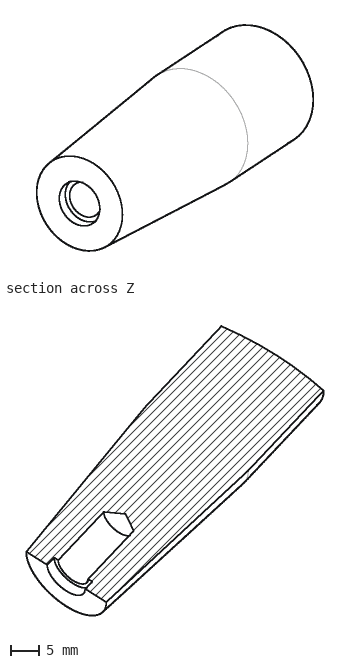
import cadquery as cq
import math

total_length = 61.0
grip_diameter = 23.0
small_end_diameter = 18.0
taper_length = 37.95
crown_height = 1.0

counterbore_diameter = 8.5
counterbore_depth = 2.0
bore_diameter = 6.65
bore_depth = 15.25
drill_point_angle = 118.0


def make_body():
    """Revolve the tapered handle with its domed large end."""
    grip_radius = grip_diameter / 2
    rim_y = total_length - crown_height
    crown_radius = (grip_radius**2 + crown_height**2) / (2 * crown_height)
    mid_x = grip_radius / 2
    mid_y = total_length - crown_radius + math.sqrt(crown_radius**2 - mid_x**2)
    profile = (
        cq.Workplane("XY")
        .lineTo(small_end_diameter / 2, 0)
        .lineTo(grip_radius, taper_length)
        .lineTo(grip_radius, rim_y)
        .threePointArc((mid_x, mid_y), (0, total_length))
        .close()
    )
    return profile.revolve(360, (0, 0, 0), (0, 1, 0))


def make_bore():
    """Revolve the counterbored hole with its conical drill point."""
    bore_radius = bore_diameter / 2
    counterbore_radius = counterbore_diameter / 2
    point_length = bore_radius / math.tan(math.radians(drill_point_angle / 2))
    profile = (
        cq.Workplane("XY")
        .lineTo(counterbore_radius, 0)
        .lineTo(counterbore_radius, counterbore_depth)
        .lineTo(bore_radius, counterbore_depth)
        .lineTo(bore_radius, bore_depth)
        .lineTo(0, bore_depth + point_length)
        .close()
    )
    return profile.revolve(360, (0, 0, 0), (0, 1, 0))


result = make_body().cut(make_bore())